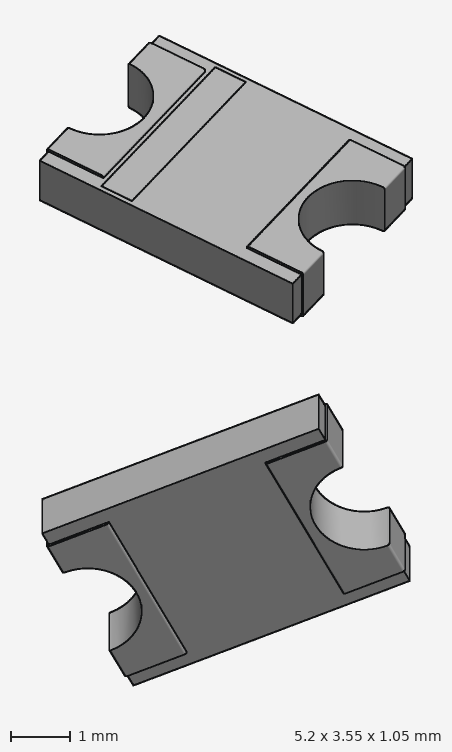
import cadquery as cq

length = 5.2
height = 1.05

body_width = 3.55
end_plating = 0.035
face_plating = 0.05
body_length = length - 2 * end_plating
body_height = height - 2 * face_plating

terminal_length = 1.15
terminal_width = 3.03
terminal_rounding = 0.045

notch_radius = 0.905

strip_length = 0.62
strip_width = 3.38
strip_thickness = 0.005
strip_center_x = -1.06


def make_body():
    return cq.Workplane("XY").box(body_length, body_width, body_height)


def make_terminal(side):
    """Plated end cap with edges rounded along Y; side is -1 or 1 along X."""
    center_x = side * (length - terminal_length) / 2
    cap = cq.Workplane("XY").box(terminal_length, terminal_width, height)
    return cap.edges("|Y").fillet(terminal_rounding).translate((center_x, 0, 0))


def make_notch(side):
    """Through-height cutter: a cylinder opened straight out past the terminal."""
    body_end = side * body_length / 2
    round_part = cq.Workplane("XY").center(body_end, 0).circle(notch_radius).extrude(height)
    mouth = (
        cq.Workplane("XY")
        .center(body_end + side * notch_radius / 2, 0)
        .rect(notch_radius, 2 * notch_radius)
        .extrude(height)
    )
    return round_part.union(mouth).translate((0, 0, -height / 2))


def make_strip():
    return (
        cq.Workplane("XY", origin=(strip_center_x, 0, body_height / 2))
        .rect(strip_length, strip_width)
        .extrude(strip_thickness)
    )


result = make_body().union(make_strip())
for end in (-1, 1):
    result = result.union(make_terminal(end)).cut(make_notch(end))